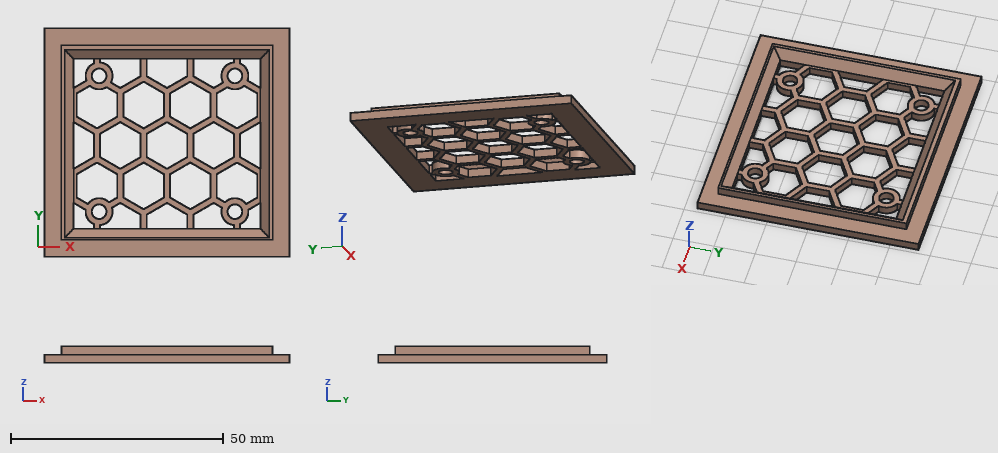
import cadquery as cq
import math

flange_x = 57.8
flange_y = 53.9
flange_thickness = 2.0
flange_border = 4.0
rim_x = flange_x - 2 * flange_border
rim_y = flange_y - 2 * flange_border
total_height = 4.0

window_x = 44.0
window_y = 40.0
window_center_y = -0.3
funnel_inset = 2.15
funnel_start_z = flange_thickness

guard_thickness = flange_thickness
cell_width = 9.5
web_width = 1.5
cell_pitch = cell_width + web_width
row_pitch = cell_pitch * math.sqrt(3) / 2
cell_corner_angle = 30
cell_circumdiameter = cell_width * 2 / math.sqrt(3)
honeycomb_center_y = -0.7
row_reach = 3
column_reach = 3

screw_spacing = 32.0
screw_hole_diameter = 3.4
screw_eye_diameter = 6.4


def make_frame():
    """Flange and rim with a straight window that flares into a funnel at the top."""
    flange = cq.Workplane("XY").box(flange_x, flange_y, flange_thickness, centered=(True, True, False))
    rim = cq.Workplane("XY").box(rim_x, rim_y, total_height, centered=(True, True, False))
    window = (
        cq.Workplane("XY")
        .center(0, window_center_y)
        .rect(window_x, window_y)
        .extrude(total_height)
    )
    funnel = (
        cq.Workplane("XY", origin=(0, window_center_y, funnel_start_z))
        .rect(window_x, window_y)
        .workplane(offset=total_height - funnel_start_z)
        .rect(window_x + 2 * funnel_inset, window_y + 2 * funnel_inset)
        .loft(ruled=True)
    )
    return flange.union(rim).cut(window).cut(funnel)


def honeycomb_centers():
    """Cell centres in rows along X, every other row shifted by half a pitch."""
    centers = []
    for row in range(-row_reach, row_reach + 1):
        row_shift = (row % 2) * cell_pitch / 2
        for column in range(-column_reach, column_reach + 1):
            x = column * cell_pitch + row_shift
            y = honeycomb_center_y + row * row_pitch
            centers.append((x, y))
    return centers


def make_guard():
    """Honeycomb sheet the size of the window, with four screw eyes."""
    sheet = (
        cq.Workplane("XY")
        .center(0, window_center_y)
        .rect(window_x, window_y)
        .extrude(guard_thickness)
    )
    cell = (
        cq.Workplane("XY")
        .polygon(6, cell_circumdiameter)
        .extrude(guard_thickness)
        .rotate((0, 0, 0), (0, 0, 1), cell_corner_angle)
    )
    cells = cq.Workplane("XY").pushPoints(honeycomb_centers()).eachpoint(cell.val(), combine=False)
    screws = (
        cq.Workplane("XY")
        .center(0, window_center_y)
        .rect(screw_spacing, screw_spacing, forConstruction=True)
    )
    eyes = screws.vertices().circle(screw_eye_diameter / 2).extrude(guard_thickness)
    holes = screws.vertices().circle(screw_hole_diameter / 2).extrude(guard_thickness)
    return sheet.cut(cells).union(eyes).cut(holes)


result = make_frame().union(make_guard())